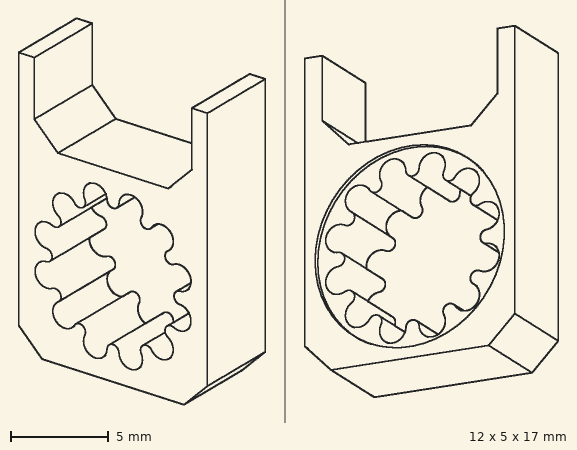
import cadquery as cq
import math

width = 12.0
height = 17.0
thickness = 5.0
corner_chamfer = 1.5

arm_thickness = 1.0
opening_depth = 5.0
opening_chamfer = 1.5

hole_height = 6.0
tooth_count = 12
lobe_circle_radius = 4.35
lobe_radius = 0.75
tooth_circle_radius = 4.25

recess_radius = 5.4
recess_depth = 0.3

half_width = width / 2
half_opening = half_width - arm_thickness
bottom = -hole_height
top = bottom + height
opening_floor = top - opening_depth


def polar(radius, angle):
    return (radius * math.cos(angle), radius * math.sin(angle))


def point_towards(start, end, distance):
    """Point at the given distance from start on the line to end."""
    fraction = distance / math.dist(start, end)
    return tuple(a + (b - a) * fraction for a, b in zip(start, end))


def make_body():
    return (
        cq.Workplane("XZ")
        .moveTo(-half_width + corner_chamfer, bottom)
        .lineTo(half_width - corner_chamfer, bottom)
        .lineTo(half_width, bottom + corner_chamfer)
        .lineTo(half_width, top)
        .lineTo(half_opening, top)
        .lineTo(half_opening, opening_floor + opening_chamfer)
        .lineTo(half_opening - opening_chamfer, opening_floor)
        .lineTo(-half_opening + opening_chamfer, opening_floor)
        .lineTo(-half_opening, opening_floor + opening_chamfer)
        .lineTo(-half_opening, top)
        .lineTo(-half_width, top)
        .lineTo(-half_width, bottom + corner_chamfer)
        .close()
        .extrude(thickness / 2, both=True)
    )


def make_toothed_hole():
    half_pitch = math.pi / tooth_count
    tooth_to_lobe = math.dist(polar(tooth_circle_radius, 0), polar(lobe_circle_radius, half_pitch))
    tip_radius = tooth_to_lobe - lobe_radius

    def flank_point(tooth_angle, side):
        """Tangent point of a tooth tip and the lobe before (-1) or after (+1) it."""
        tooth_centre = polar(tooth_circle_radius, tooth_angle)
        lobe_centre = polar(lobe_circle_radius, tooth_angle + side * half_pitch)
        return point_towards(tooth_centre, lobe_centre, tip_radius)

    outline = cq.Workplane("XZ").moveTo(*flank_point(0, -1))
    for index in range(tooth_count):
        angle = 2 * half_pitch * index
        tooth_tip = polar(tooth_circle_radius - tip_radius, angle)
        lobe_bottom = polar(lobe_circle_radius + lobe_radius, angle + half_pitch)
        outline = outline.threePointArc(tooth_tip, flank_point(angle, 1))
        outline = outline.threePointArc(lobe_bottom, flank_point(angle + 2 * half_pitch, -1))
    return outline.close().extrude(thickness / 2, both=True)


def make_rear_recess():
    recess_floor = thickness / 2 - recess_depth
    return cq.Workplane("XZ", origin=(0, recess_floor, 0)).circle(recess_radius).extrude(-recess_depth)


result = make_body().cut(make_toothed_hole()).cut(make_rear_recess())